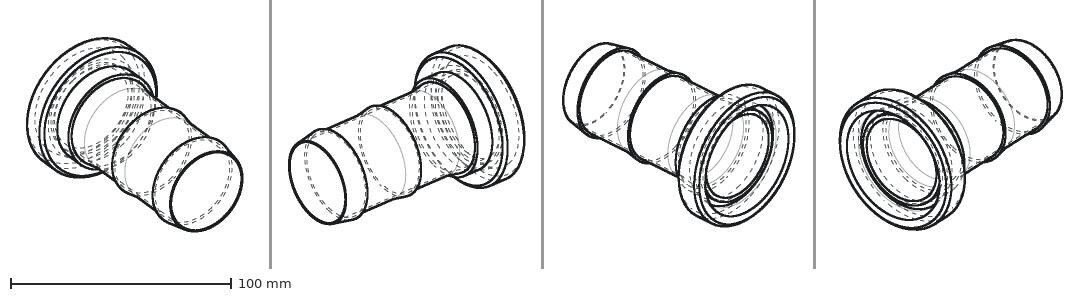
import cadquery as cq

total_length = 97.0

flange_radius = 32.64
flange_length = 13.1
flange_chamfer = 1.65
collar_radius = 23.9
collar_end = 21.9

tube_radius = 20.7
barb_radius = 22.0
barb_length = 8.05
barb_pitch = 32.0
tip_radius = 20.1

socket_mouth_radius = 27.1
socket_floor_radius = 25.2
socket_cone_depth = 6.0
socket_depth = 8.0
lip_radius = 22.5
lip_height = socket_depth - socket_cone_depth

bore_radius = 20.4
narrow_bore_radius = 19.5
bore_cone_start = collar_end
bore_cone_length = 6.0
bore_cone_end = bore_cone_start + bore_cone_length


def turned(points):
    """Revolve a closed (X, radius) outline about the X axis."""
    return cq.Workplane("XY").polyline(points).close().revolve(360, (0, 0, 0), (1, 0, 0))


def make_body():
    """Flange, collar, two full barbs and the end barb, as one outer shape."""
    flange_edge_radius = flange_radius - flange_chamfer
    outline = [
        (0, 0),
        (0, flange_edge_radius),
        (flange_chamfer, flange_radius),
        (flange_length - flange_chamfer, flange_radius),
        (flange_length, flange_edge_radius),
        (flange_length, collar_radius),
        (collar_end, collar_radius),
    ]
    for barb in range(2):
        barb_start = collar_end + barb * barb_pitch
        outline += [
            (barb_start, barb_radius),
            (barb_start + barb_length, tube_radius),
            (barb_start + barb_pitch, tube_radius),
        ]
    outline += [
        (collar_end + 2 * barb_pitch, barb_radius),
        (total_length, tip_radius),
        (total_length, 0),
    ]
    return turned(outline)


def make_cavity():
    """Socket, lip and stepped bore, as one inner shape."""
    lip_face = socket_depth - lip_height
    return turned([
        (0, 0),
        (0, socket_mouth_radius),
        (socket_cone_depth, socket_floor_radius),
        (socket_depth, socket_floor_radius),
        (socket_depth, lip_radius),
        (lip_face, lip_radius),
        (lip_face, bore_radius),
        (bore_cone_start, bore_radius),
        (bore_cone_end, narrow_bore_radius),
        (total_length, narrow_bore_radius),
        (total_length, 0),
    ])


result = make_body().cut(make_cavity())